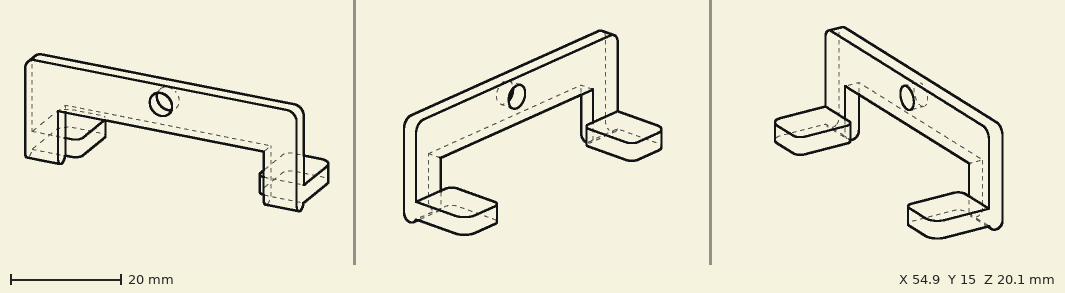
import cadquery as cq

length = 54.9
height = 20.15
thickness = 2.95
leg_width = 6.7
bridge_height = 9.15
top_corner_radius = 2.0

hole_diameter = 4.5
hole_below_top = 3.85

depth = 15.0
tab_width = 9.5
tab_height = 3.5
tab_bottom = 1.0
tab_outer_radius = 2.5
tab_inner_radius = 1.5


def make_plate():
    """U-shaped plate with rounded top corners and fully rounded feet."""
    foot_radius = thickness / 2
    foot_profile = (
        cq.Workplane("YZ")
        .moveTo(0, height)
        .lineTo(0, foot_radius)
        .threePointArc((foot_radius, 0), (thickness, foot_radius))
        .lineTo(thickness, height)
        .close()
    )
    plate = foot_profile.extrude(length / 2, both=True)
    plate = plate.edges("|Y and >Z").fillet(top_corner_radius)

    opening = cq.Workplane("XY").box(
        length - 2 * leg_width,
        thickness,
        height - bridge_height,
        centered=(True, False, False),
    )
    hole = (
        cq.Workplane("XZ")
        .center(0, height - hole_below_top)
        .circle(hole_diameter / 2)
        .extrude(-thickness)
    )
    return plate.cut(opening).cut(hole)


def make_left_tab():
    """Tab behind the left leg, rounded at its three free corners."""
    tab = (
        cq.Workplane("XY")
        .box(tab_width, depth - thickness, tab_height, centered=False)
        .translate((-length / 2, thickness, tab_bottom))
    )
    tab = tab.edges("|Z and >X").fillet(tab_inner_radius)
    tab = tab.edges("|Z and <X and >Y").fillet(tab_outer_radius)

    root = (
        cq.Workplane("XY")
        .box(leg_width, thickness / 2, tab_height, centered=False)
        .translate((-length / 2, thickness / 2, tab_bottom))
    )
    return tab.union(root)


left_tab = make_left_tab()
right_tab = left_tab.mirror("YZ")
result = make_plate().union(left_tab).union(right_tab)